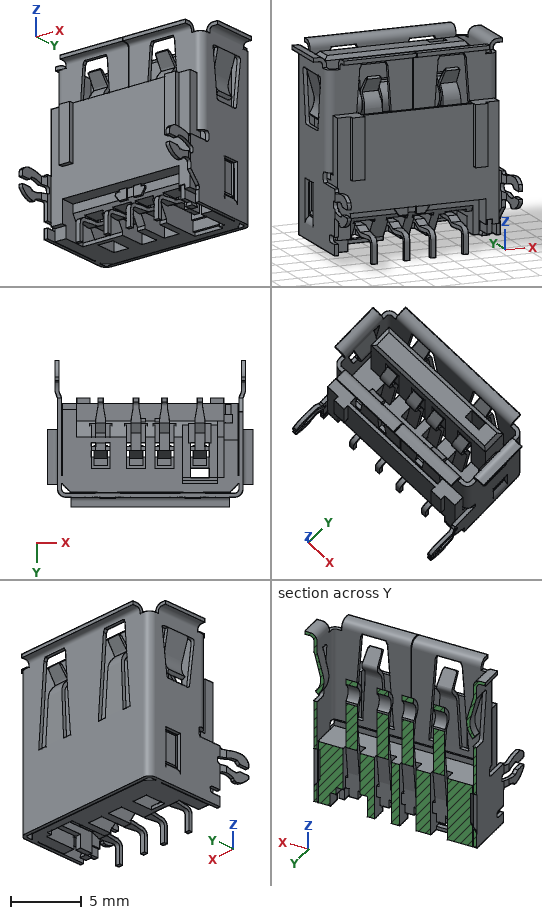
import cadquery as cq
import math

SHEET = 0.3
SHELL_X = 13.1
SHELL_Y = 5.7
SHELL_BEND = 0.6
HALF_X = SHELL_X / 2
HALF_Y = SHELL_Y / 2
INNER_X = HALF_X - SHEET
INNER_Y = HALF_Y - SHEET
RIM_Z = 13.2
TOP_Z = 13.98
FRONT_WALL_Z = 5.69
SEAM = 0.06

ARC_MID = math.sqrt(0.5)

LIP_REACH = 0.7
LIP_RADIUS = 0.6
LIP_HALF_X = 5.6
LIP_HALF_Y = 1.95

CHEEK_Y = -4.14
CHEEK_Z = 4.88
RELIEF_Y = -2.07
RELIEF_RADIUS = 0.22
RIGHT_CHEEK_Y = -3.2
RIGHT_TRIM_HIGH = 2.24
RIGHT_TRIM_LOW = 1.28
NOTCH_Y = -3.17
NOTCH_LOW = 0.83
NOTCH_HIGH = 1.36

LOCK_TIP_Y = -6.82
LOCK_SLOT_LOW = 3.42
LOCK_SLOT_HIGH = 4.0
LOCK_SLOT_END = -3.89
LOCK_JOG = 0.17
LOCK_JOG_START = -4.15
LOCK_JOG_END = -4.6
LOCK_NECK_START = -4.3
LOCK_NECK_END = -4.67
LOCK_NECK_HIGH = 4.66
LOCK_NECK_LOW = 2.85

BASE_TOP = 5.13
BASE_FRONT = -INNER_Y
CLEARANCE = 0.05
BASE_CHAMFER = 0.58
PAD_FRONT = 1.3
PAD_BACK = 1.9
PAD_TOP = 4.0
PLATE_HALF_X = INNER_X - CLEARANCE
PLATE_FRONT = -3.785
PLATE_BACK = -2.97
PLATE_TOP = 9.94
PLATE_THIN = 0.26
SHOULDER_TOP = 5.59
RIB_OUTER_X = 5.2
RIB_INNER_X = 4.24
RIB_FRONT = -4.17
RIB_BOTTOM = 5.34
LEG_BOTTOM = 1.0
LEG_UNDERCUT_BACK = -1.2
LEFT_FOOT_FRONT = -3.35
POST_FRONT = -3.7
POST_BACK = -2.4
POST_TOE_FRONT = -3.0
POST_X = 5.5
POST_HALF = 0.19
POST_FLARE_HALF = 0.3
POST_TOP = 1.35
ARCH_TOP = 2.88
HOOK_HEIGHT = 0.15
HOOK_ROOT = 0.1
HOOK_INNER_X = 0.32
HOOK_STEM_X = 0.97
HOOK_FOOT = 2.04
CAVITY_RIGHT = 4.74
CAVITY_TOP = 2.16
SILL_Z = 0.28
SILL_Y = -1.4

TONGUE_HALF_X = 5.57
TONGUE_BACK = 1.82
TONGUE_TOP = 13.45
TONGUE_CHAMFER = 0.31
TONGUE_FRONT_BEVEL = 0.23
CONTACT_X = (-3.5, -1.0, 1.0, 3.5)
SLOT_WIDTH = 1.32
SLOT_FRONT = -1.0
SLOT_BACK = 0.81
SLOT_TOP = 11.44
MOUTH_TOP = 1.68
SLIT_TOP = 1.87
WIDE_MOUTH_LEFT = 2.26
WELL_STEP = 0.2
WELL_TOP = 1.1
BARB_HALF = 0.8
CORE_HOLE_BACK = 1.46
BLADE_WIDTH = 0.95
BLADE_FRONT = -0.75
BLADE_BACK = -0.45
BARB_LOW = 1.7
BARB_HIGH = 2.6
TAIL_HIGH = 1.35
TAIL_LOW = 1.05
TAIL_STEP_START = -1.7
TAIL_STEP_END = -2.4
TAIL_TAPER_START = -2.6
TAIL_TAPER_END = -3.5
STRIP_WIDTH = 0.72
PIN_WIDTH = 0.4
PIN_BOTTOM = -0.9
PIN_FRONT = -4.17
PIN_BEND = 0.6

FINGER_X = 3.0
FINGER_ROOT = 6.2
FINGER_TIP = 12.45
FINGER_TIP_SHOULDER = 12.28
FINGER_ROOT_HALF = 0.9
FINGER_NECK_HALF = 0.56
FINGER_TIP_HALF = 0.45
FINGER_BEND = 10.1
WINDOW_ROOT_HALF = 1.6
WINDOW_SHOULDER_HALF = 1.08
WINDOW_TOP_HALF = 0.95
WINDOW_SHOULDER = 13.1
WINDOW_TOP = 13.38
SIDE_FINGER_TOP = 12.45
SIDE_FINGER_TIP = 8.99
SIDE_WINDOW_FOOT = 8.39
SIDE_WINDOW_TOP_HALF = 1.6
SIDE_WINDOW_FOOT_HALF = 1.1
SIDE_FINGER_ROOT_HALF = 1.0
SIDE_FINGER_TIP_HALF = 0.78
WINDOW_RADIUS = 0.2

SIDE_POCKET_BACK = 1.21
SIDE_POCKET_FRONT = -0.22
SIDE_POCKET_LOW = 1.17
SIDE_POCKET_HIGH = 4.41
SIDE_POCKET_DEPTH = 0.5


def block(x0, x1, y0, y1, z0, z1):
    """Box between two opposite corners."""
    return cq.Workplane("XY").box(x1 - x0, y1 - y0, z1 - z0, centered=False).translate((x0, y0, z0))


def along_x(sketch, x0, x1):
    """Extrude a closed YZ outline from x0 to x1."""
    return sketch.extrude(x1 - x0).translate((x0, 0, 0))


def along_y(sketch, y0, y1):
    """Extrude a closed XZ outline from y0 to y1 (the XZ plane faces -Y)."""
    return sketch.extrude(-(y1 - y0)).translate((0, y0, 0))


def both_sides(solid, plane="YZ"):
    """The solid together with its mirror image."""
    return solid.union(solid.mirror(plane))


def yz(points):
    return cq.Workplane("YZ").polyline(points).close()


def xz(points):
    return cq.Workplane("XZ").polyline(points).close()


def shell_tube():
    outer = block(-HALF_X, HALF_X, -HALF_Y, HALF_Y, 0, RIM_Z).edges("|Z").fillet(SHELL_BEND)
    inner = block(-INNER_X, INNER_X, -INNER_Y, INNER_Y, 0, RIM_Z).edges("|Z").fillet(SHELL_BEND - SHEET)
    below_front = block(-HALF_X, HALF_X, -HALF_Y, -HALF_Y + SHELL_BEND, 0, FRONT_WALL_Z)
    return outer.cut(inner).cut(below_front)


def lip_outline(plane, wall):
    """Wall end that rises, bends outward a quarter turn and runs flat; wall is the outer face."""
    bend_z = TOP_Z - LIP_RADIUS
    bend_end = wall - SHEET + LIP_RADIUS
    inner_radius = LIP_RADIUS - SHEET
    return (
        cq.Workplane(plane)
        .moveTo(wall - SHEET, RIM_Z)
        .lineTo(wall - SHEET, bend_z)
        .threePointArc((bend_end - LIP_RADIUS * ARC_MID, bend_z + LIP_RADIUS * ARC_MID), (bend_end, TOP_Z))
        .lineTo(wall + LIP_REACH, TOP_Z)
        .lineTo(wall + LIP_REACH, TOP_Z - SHEET)
        .lineTo(bend_end, TOP_Z - SHEET)
        .threePointArc(
            (bend_end - inner_radius * ARC_MID, bend_z + inner_radius * ARC_MID), (wall, bend_z)
        )
        .lineTo(wall, RIM_Z)
        .close()
    )


def lips():
    side = along_y(lip_outline("XZ", HALF_X), -LIP_HALF_Y, LIP_HALF_Y)
    rear = along_x(lip_outline("YZ", HALF_Y), -LIP_HALF_X, LIP_HALF_X)
    return both_sides(side).union(both_sides(rear, "XZ"))


def upper_prong():
    """Side outline of the upper prong, running forward from the cheek edge to a rounded tip."""
    return (
        cq.Workplane("YZ")
        .moveTo(CHEEK_Y, CHEEK_Z)
        .threePointArc((-4.19, 4.74), (LOCK_NECK_START, LOCK_NECK_HIGH))
        .lineTo(LOCK_NECK_END, LOCK_NECK_HIGH)
        .threePointArc((-5.35, 4.83), (-6.16, 4.87))
        .threePointArc((-6.52, 4.71), (-6.75, 4.5))
        .threePointArc((LOCK_TIP_Y, 4.22), (-6.78, LOCK_SLOT_HIGH))
        .lineTo(-5.94, LOCK_SLOT_HIGH)
        .lineTo(-5.69, 4.24)
        .threePointArc((-5.15, 4.2), (LOCK_NECK_END, 4.05))
        .lineTo(CHEEK_Y, LOCK_SLOT_HIGH)
        .close()
    )


def lower_prong():
    """Side outline of the lower prong, with a deeper belly than the upper one."""
    return (
        cq.Workplane("YZ")
        .moveTo(CHEEK_Y, LOCK_SLOT_LOW)
        .lineTo(LOCK_NECK_END, 3.38)
        .threePointArc((-5.1, 3.25), (-5.6, 3.22))
        .lineTo(-5.92, LOCK_SLOT_LOW)
        .lineTo(-6.78, LOCK_SLOT_LOW)
        .threePointArc((LOCK_TIP_Y, 3.3), (-6.79, 3.15))
        .threePointArc((-6.3, 2.7), (-5.63, 2.46))
        .lineTo(-5.39, 2.5)
        .lineTo(-5.28, 2.68)
        .threePointArc((-5.0, 2.8), (LOCK_NECK_END, LOCK_NECK_LOW))
        .lineTo(LOCK_NECK_START, LOCK_NECK_LOW)
        .threePointArc((-4.19, 2.79), (CHEEK_Y, 2.69))
        .close()
    )


def board_lock():
    """Two-pronged lock on the +X cheek, stepped outward by LOCK_JOG."""
    reach = HALF_X + 2 * LOCK_JOG
    prongs = along_x(upper_prong(), INNER_X, reach).union(along_x(lower_prong(), INNER_X, reach))
    strip = (
        cq.Workplane("XY")
        .polyline([
            (INNER_X, CHEEK_Y),
            (HALF_X, CHEEK_Y),
            (HALF_X, LOCK_JOG_START),
            (HALF_X + LOCK_JOG, LOCK_JOG_END),
            (HALF_X + LOCK_JOG, LOCK_TIP_Y),
            (INNER_X + LOCK_JOG, LOCK_TIP_Y),
            (INNER_X + LOCK_JOG, LOCK_JOG_END),
            (INNER_X, LOCK_JOG_START),
        ])
        .close()
        .extrude(RIM_Z)
    )
    return prongs.intersect(strip)


def cheek():
    """Lower +X side plate ahead of the front wall, with its lock."""
    plate = block(INNER_X, HALF_X, CHEEK_Y, -HALF_Y + SHELL_BEND, 0, CHEEK_Z)
    notch = block(INNER_X, HALF_X, 2 * CHEEK_Y - NOTCH_Y, NOTCH_Y, NOTCH_LOW, NOTCH_HIGH)
    slot = block(INNER_X, HALF_X, 2 * CHEEK_Y - LOCK_SLOT_END, LOCK_SLOT_END, LOCK_SLOT_LOW, LOCK_SLOT_HIGH)
    plate = plate.cut(notch.edges("|X").fillet(RELIEF_RADIUS)).cut(slot.edges("|X").fillet(RELIEF_RADIUS))
    return plate.union(board_lock())


def right_cheek_trim():
    """Sloped cut that sets back the lower front of the right-hand cheek."""
    outline = yz([
        (CHEEK_Y, 0),
        (CHEEK_Y, RIGHT_TRIM_HIGH),
        (RIGHT_CHEEK_Y, RIGHT_TRIM_LOW),
        (RIGHT_CHEEK_Y, 0),
    ])
    return along_x(outline, INNER_X, HALF_X)


def relief_cutter():
    """Rounded relief between the cheek and the corner bend above it."""
    cutter = block(-HALF_X, HALF_X, -HALF_Y, RELIEF_Y, CHEEK_Z, FRONT_WALL_Z)
    return cutter.edges("|X and >Y").fillet(RELIEF_RADIUS)


def finger_window(x):
    """Opening in the front and rear walls, wider toward its foot."""
    outline = xz([
        (x - WINDOW_ROOT_HALF, FINGER_ROOT),
        (x - WINDOW_SHOULDER_HALF, WINDOW_SHOULDER),
        (x - WINDOW_TOP_HALF, WINDOW_TOP),
        (x + WINDOW_TOP_HALF, WINDOW_TOP),
        (x + WINDOW_SHOULDER_HALF, WINDOW_SHOULDER),
        (x + WINDOW_ROOT_HALF, FINGER_ROOT),
    ])
    return along_y(outline, -HALF_Y, -INNER_Y)


def finger(x):
    """Spring finger of the front wall, rooted at its foot and bowed into the mouth."""
    outside = -HALF_Y
    set_in = 0.05
    bow = (
        cq.Workplane("YZ")
        .moveTo(outside, FINGER_ROOT)
        .lineTo(outside + set_in, FINGER_BEND)
        .threePointArc((outside + 0.15, 10.5), (outside + 0.4, 10.9))
        .lineTo(outside + 0.65, 11.2)
        .lineTo(outside + 0.6, 11.32)
        .lineTo(outside - 0.1, 12.3)
        .lineTo(outside + 0.05, FINGER_TIP)
        .lineTo(outside + 0.9, 11.4)
        .threePointArc((outside + 0.95, 11.2), (outside + 0.88, 11.0))
        .lineTo(outside + 0.63, 10.7)
        .threePointArc((outside + 0.43, 10.42), (outside + set_in + SHEET, FINGER_BEND))
        .lineTo(outside + SHEET, FINGER_ROOT)
        .close()
    )
    face = xz([
        (x - FINGER_ROOT_HALF, FINGER_ROOT),
        (x - FINGER_NECK_HALF, FINGER_TIP_SHOULDER),
        (x - FINGER_TIP_HALF, FINGER_TIP),
        (x + FINGER_TIP_HALF, FINGER_TIP),
        (x + FINGER_NECK_HALF, FINGER_TIP_SHOULDER),
        (x + FINGER_ROOT_HALF, FINGER_ROOT),
    ])
    strip = along_x(bow, x - FINGER_ROOT_HALF, x + FINGER_ROOT_HALF)
    return strip.intersect(along_y(face, -HALF_Y - LIP_REACH, 0))


def side_window():
    outline = yz([
        (-SIDE_WINDOW_TOP_HALF, SIDE_FINGER_TOP),
        (SIDE_WINDOW_TOP_HALF, SIDE_FINGER_TOP),
        (SIDE_WINDOW_FOOT_HALF, SIDE_WINDOW_FOOT),
        (-SIDE_WINDOW_FOOT_HALF, SIDE_WINDOW_FOOT),
    ])
    window = along_x(outline, INNER_X, HALF_X)
    return window.edges("|X").fillet(WINDOW_RADIUS)


def side_finger():
    """Spring finger of the +X wall, hung from the window top and bowed into the mouth."""
    bow = (
        cq.Workplane("XZ")
        .moveTo(HALF_X, SIDE_FINGER_TOP)
        .lineTo(HALF_X - 0.05, SIDE_FINGER_TOP - 0.12)
        .lineTo(6.04, 10.57)
        .threePointArc((6.05, 9.9), (6.42, 9.22))
        .lineTo(6.2, SIDE_FINGER_TIP)
        .threePointArc((5.72, 10.0), (5.75, 10.65))
        .lineTo(INNER_X, SIDE_FINGER_TOP)
        .close()
    )
    face = along_x(yz([
        (-SIDE_FINGER_ROOT_HALF, SIDE_FINGER_TOP),
        (SIDE_FINGER_ROOT_HALF, SIDE_FINGER_TOP),
        (SIDE_FINGER_TIP_HALF, SIDE_FINGER_TIP),
        (-SIDE_FINGER_TIP_HALF, SIDE_FINGER_TIP),
    ]), 0, HALF_X)
    face = face.edges("|X and <Z").fillet(WINDOW_RADIUS)
    return along_y(bow, -SIDE_FINGER_ROOT_HALF, SIDE_FINGER_ROOT_HALF).intersect(face)


def shell():
    body = shell_tube().union(lips()).union(both_sides(cheek())).cut(relief_cutter()).cut(right_cheek_trim())
    body = body.cut(block(-SEAM / 2, SEAM / 2, -HALF_Y - LIP_REACH, -INNER_Y, 0, TOP_Z))
    for x in (-FINGER_X, FINGER_X):
        body = body.cut(both_sides(finger_window(x), "XZ"))
        body = body.union(both_sides(finger(x), "XZ"))
    return body.cut(both_sides(side_window())).union(both_sides(side_finger()))


def base():
    """Block inside the shell, standing clear of it except at a pad on each side."""
    body = block(-PLATE_HALF_X, PLATE_HALF_X, BASE_FRONT, INNER_Y - CLEARANCE, 0, BASE_TOP)
    body = body.edges("|Z and >Y").chamfer(BASE_CHAMFER)
    pad = block(PLATE_HALF_X, INNER_X, PAD_FRONT, PAD_BACK, 0, PAD_TOP)
    return body.union(both_sides(pad))


def front_plate():
    lower = block(-PLATE_HALF_X, PLATE_HALF_X, PLATE_FRONT, BASE_FRONT, ARCH_TOP, SHOULDER_TOP)
    wall = block(-PLATE_HALF_X, PLATE_HALF_X, PLATE_FRONT, PLATE_FRONT + PLATE_THIN, ARCH_TOP, PLATE_TOP)
    jamb = block(RIB_INNER_X, PLATE_HALF_X, PLATE_FRONT, PLATE_BACK, ARCH_TOP, PLATE_TOP)
    rib = block(RIB_INNER_X, RIB_OUTER_X, RIB_FRONT, PLATE_FRONT, RIB_BOTTOM, PLATE_TOP)
    leg = block(RIB_OUTER_X, PLATE_HALF_X, PLATE_FRONT, BASE_FRONT, LEG_BOTTOM, ARCH_TOP)
    return lower.union(wall).union(both_sides(jamb.union(rib).union(leg)))


def key_post():
    """Small post with a flared, set-back foot, hanging under the right-hand leg."""
    outline = xz([
        (POST_X - POST_FLARE_HALF, 0),
        (POST_X - POST_HALF, SILL_Z),
        (POST_X - POST_HALF, LEG_BOTTOM),
        (POST_X + POST_HALF, LEG_BOTTOM),
        (POST_X + POST_HALF, SILL_Z),
        (POST_X + POST_FLARE_HALF, 0),
    ])
    toe_step = block(RIB_OUTER_X, PLATE_HALF_X, POST_FRONT, POST_TOE_FRONT, 0, SILL_Z)
    return along_y(outline, POST_FRONT, POST_BACK).cut(toe_step)


def left_foot():
    """Set-back foot under the left-hand leg."""
    return block(-PLATE_HALF_X, -RIB_OUTER_X, LEFT_FOOT_FRONT, BASE_FRONT, 0, LEG_BOTTOM)


def post_recess():
    """Step in the leg that bares the front of the post up to POST_TOP."""
    return block(POST_X - POST_HALF, POST_X + POST_HALF, PLATE_FRONT, POST_FRONT, LEG_BOTTOM, POST_TOP)


def leg_undercut():
    """Open space beneath the right-hand leg."""
    return block(RIB_OUTER_X, INNER_X, BASE_FRONT, LEG_UNDERCUT_BACK, 0, LEG_BOTTOM)


def arch_hooks():
    """Pair of raised pads under the arch, facing away from each other."""
    pad = xz([
        (HOOK_INNER_X, ARCH_TOP),
        (HOOK_STEM_X, ARCH_TOP),
        (HOOK_STEM_X, 2.73),
        (1.3, 2.68),
        (1.32, 2.5),
        (1.0, HOOK_FOOT),
        (HOOK_INNER_X, HOOK_FOOT),
    ])
    return both_sides(along_y(pad, BASE_FRONT - HOOK_HEIGHT, BASE_FRONT + HOOK_ROOT))


def cavity():
    """Undercut beneath the arch: its roof slopes back to a low sill."""
    outline = yz([(BASE_FRONT, 0), (BASE_FRONT, CAVITY_TOP), (SILL_Y, SILL_Z), (SILL_Y, 0)])
    return along_x(outline, -RIB_OUTER_X, CAVITY_RIGHT)


def tongue():
    """Tongue with bevelled top edges; the front bevel is the narrowest."""
    bevel_z = TONGUE_TOP - TONGUE_CHAMFER
    body = block(-TONGUE_HALF_X, TONGUE_HALF_X, 0, TONGUE_BACK, BASE_TOP, bevel_z)
    crown_front = TONGUE_FRONT_BEVEL
    crown_back = TONGUE_BACK - TONGUE_CHAMFER
    crown = (
        cq.Workplane("XY")
        .workplane(offset=bevel_z)
        .center(0, TONGUE_BACK / 2)
        .rect(2 * TONGUE_HALF_X, TONGUE_BACK)
        .workplane(offset=TONGUE_CHAMFER)
        .center(0, (crown_front + crown_back - TONGUE_BACK) / 2)
        .rect(2 * (TONGUE_HALF_X - TONGUE_CHAMFER), crown_back - crown_front)
        .loft()
    )
    return body.union(crown)


def contact_slot(x):
    half = SLOT_WIDTH / 2
    return block(x - half, x + half, SLOT_FRONT, SLOT_BACK, 0, SLOT_TOP)


def contact_mouth(x):
    """Front opening of a contact slot, with a wider slit above it for the barb."""
    half = SLOT_WIDTH / 2
    sill = SILL_Z if x == CONTACT_X[0] else 0
    mouth = block(x - half, x + half, BASE_FRONT, SLOT_FRONT, sill, MOUTH_TOP)
    slit = block(x - BARB_HALF, x + BARB_HALF, BASE_FRONT, SLOT_FRONT, MOUTH_TOP, SLIT_TOP)
    return mouth.union(slit)


def wide_mouth():
    """Enlarged opening round the right-hand contact; its back wall steps deeper toward the foot."""
    mouth = block(WIDE_MOUTH_LEFT, CAVITY_RIGHT, BASE_FRONT, CORE_HOLE_BACK, 0, MOUTH_TOP)
    side = block(CAVITY_RIGHT, RIB_OUTER_X, SILL_Y, CORE_HOLE_BACK, 0, WELL_TOP)
    mouth = mouth.union(side)
    for steps, step_z in enumerate((WELL_TOP, SILL_Z), start=1):
        depth = CORE_HOLE_BACK + steps * WELL_STEP
        mouth = mouth.union(block(WIDE_MOUTH_LEFT, CAVITY_RIGHT, CORE_HOLE_BACK, depth, 0, step_z))
    return mouth


def core_hole():
    x = CONTACT_X[-1]
    half = SLOT_WIDTH / 2
    return block(x - half, x + half, SLOT_BACK, CORE_HOLE_BACK, 0, TONGUE_TOP)


def insulator():
    body = base().union(front_plate()).cut(leg_undercut()).union(key_post()).cut(post_recess())
    body = body.union(left_foot()).cut(cavity()).union(arch_hooks()).union(tongue())
    for x in CONTACT_X:
        body = body.cut(contact_slot(x)).cut(contact_mouth(x))
    return body.cut(wide_mouth()).cut(core_hole())


def contact_blade(x):
    """Upright spring blade, bowed forward out of the tongue near its top."""
    outline = (
        cq.Workplane("YZ")
        .moveTo(BLADE_FRONT, BARB_LOW)
        .lineTo(BLADE_FRONT, 3.0)
        .lineTo(-0.2, 7.5)
        .lineTo(-0.46, 9.1)
        .threePointArc((-0.76, 10.15), (-0.5, 10.6))
        .lineTo(0.0, 11.15)
        .lineTo(0.6, 11.15)
        .lineTo(0.6, 10.85)
        .lineTo(0.12, 10.85)
        .lineTo(-0.25, 10.4)
        .threePointArc((-0.46, 10.1), (-0.2, 9.1))
        .lineTo(0.1, 7.5)
        .lineTo(BLADE_BACK, 3.0)
        .lineTo(BLADE_BACK, BARB_LOW)
        .close()
    )
    return along_x(outline, x - BLADE_WIDTH / 2, x + BLADE_WIDTH / 2)


def contact_tail(x):
    """Strip that runs forward, steps down, tapers and turns down into the board pin."""
    high = TAIL_HIGH
    low = TAIL_LOW
    inner_bend = PIN_BEND - SHEET
    bend_y = PIN_FRONT + PIN_BEND
    bend_z = low - PIN_BEND
    side = (
        cq.Workplane("YZ")
        .moveTo(BLADE_BACK, high)
        .lineTo(TAIL_STEP_START, high)
        .lineTo(TAIL_STEP_END, low)
        .lineTo(bend_y, low)
        .threePointArc((bend_y - PIN_BEND * ARC_MID, bend_z + PIN_BEND * ARC_MID), (PIN_FRONT, bend_z))
        .lineTo(PIN_FRONT, PIN_BOTTOM)
        .lineTo(PIN_FRONT + SHEET, PIN_BOTTOM)
        .lineTo(PIN_FRONT + SHEET, bend_z)
        .threePointArc(
            (bend_y - inner_bend * ARC_MID, bend_z + inner_bend * ARC_MID), (bend_y, low - SHEET)
        )
        .lineTo(TAIL_STEP_END, low - SHEET)
        .lineTo(TAIL_STEP_START, high - SHEET)
        .lineTo(BLADE_BACK, high - SHEET)
        .close()
    )
    half = STRIP_WIDTH / 2
    pin_half = PIN_WIDTH / 2
    plan = (
        cq.Workplane("XY")
        .workplane(offset=PIN_BOTTOM)
        .polyline([
            (x - half, 0),
            (x - half, TAIL_TAPER_START),
            (x - pin_half, TAIL_TAPER_END),
            (x - pin_half, PIN_FRONT),
            (x + pin_half, PIN_FRONT),
            (x + pin_half, TAIL_TAPER_END),
            (x + half, TAIL_TAPER_START),
            (x + half, 0),
        ])
        .close()
        .extrude(high - PIN_BOTTOM)
    )
    return along_x(side, x - half, x + half).intersect(plan)


def contact(x):
    barb = block(x - BARB_HALF, x + BARB_HALF, BLADE_FRONT, BLADE_BACK, BARB_LOW, BARB_HIGH)
    half = STRIP_WIDTH / 2
    leg = block(x - half, x + half, BLADE_FRONT, BLADE_BACK, TAIL_LOW, BARB_LOW)
    return contact_blade(x).union(contact_tail(x)).union(barb).union(leg)


def side_pocket():
    """Lower window of the +X wall, sunk into the insulator, with a curved lower ramp."""
    floor_x = HALF_X - SIDE_POCKET_DEPTH
    outline = (
        cq.Workplane("XZ")
        .moveTo(HALF_X, SIDE_POCKET_LOW)
        .threePointArc((HALF_X - 0.09, 1.4), (HALF_X - 0.25, 1.58))
        .lineTo(HALF_X - 0.4, 1.83)
        .lineTo(floor_x, 2.0)
        .lineTo(floor_x, SIDE_POCKET_HIGH)
        .lineTo(HALF_X, SIDE_POCKET_HIGH)
        .close()
    )
    return along_y(outline, SIDE_POCKET_FRONT, SIDE_POCKET_BACK)


result = shell().union(insulator()).cut(both_sides(side_pocket()))
for contact_x in CONTACT_X:
    result = result.union(contact(contact_x))